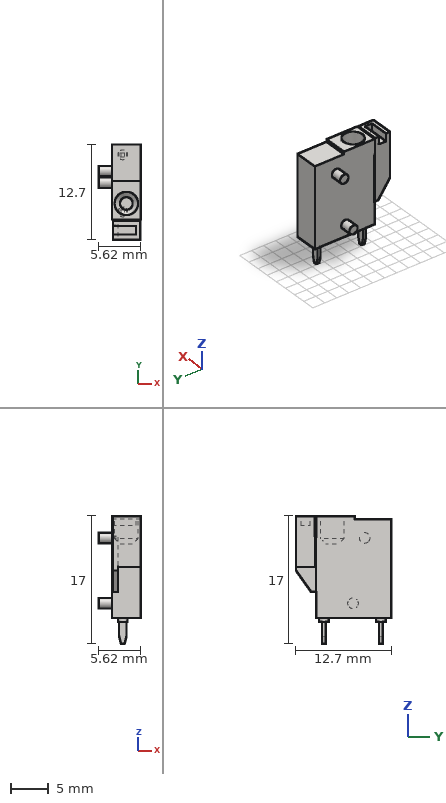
import cadquery as cq

OVERALL_HEIGHT = 17.0

HOUSING_WIDTH = 3.85
HOUSING_DEPTH = 10.03
HOUSING_HEIGHT = 13.57
REAR_STEP_LENGTH = 4.88
REAR_STEP_DROP = 0.39

ENTRY_X = HOUSING_WIDTH / 2
ENTRY_Y = 2.16
ENTRY_DIAMETER = 3.11
ENTRY_FLOOR_DIAMETER = 1.68
ENTRY_BORE_DEPTH = 3.0
ENTRY_FUNNEL_DEPTH = (ENTRY_DIAMETER - ENTRY_FLOOR_DIAMETER) / 2

PEG_DIAMETER = 1.41
PEG_LENGTH = 1.77
PEG_CENTRES = [(6.46, 10.66), (4.91, 1.97)]

LEVER_LEFT = 0.12
LEVER_RIGHT = HOUSING_WIDTH - 0.05
LEVER_REACH = 2.67
LEVER_GAP = 0.15
LEVER_HEAD_HEIGHT = 6.77
LEG_RIGHT = 0.78
LEG_TOP_DROP = 2.8
LEG_SLOPE_DROP = 7.26
LEG_BOTTOM_DROP = 10.06
LEG_BOTTOM_REACH = 0.68
SLOT_NEAR_REACH = 0.82
SLOT_FAR_REACH = 1.99
SLOT_DEPTH = 1.22
SLOT_END_X = 3.21

PIN_X = 1.45
PIN_YS = [1.04, 8.62]
COLLAR_DIAMETER = 1.31
COLLAR_HEIGHT = 0.5
PIN_LENGTH = OVERALL_HEIGHT - HOUSING_HEIGHT
BLADE_WIDTH = 1.02
BLADE_THICKNESS = 0.51
BLADE_TIP_WIDTH = 0.5
BLADE_TAPER_LENGTH = 1.02


def box_between(low, high):
    """Box spanning two opposite corners."""
    size = [end - start for start, end in zip(low, high)]
    return cq.Workplane("XY").box(*size, centered=False).translate(low)


def make_wire_entry():
    """Cutting body for the bore and its funnel."""
    bore_bottom = HOUSING_HEIGHT - ENTRY_BORE_DEPTH
    floor = bore_bottom - ENTRY_FUNNEL_DEPTH
    half_section = [
        (0, floor),
        (ENTRY_FLOOR_DIAMETER / 2, floor),
        (ENTRY_DIAMETER / 2, bore_bottom),
        (ENTRY_DIAMETER / 2, HOUSING_HEIGHT),
        (0, HOUSING_HEIGHT),
    ]
    entry = cq.Workplane("XZ").polyline(half_section).close().revolve(360, (0, 0), (0, 1))
    return entry.translate((ENTRY_X, ENTRY_Y, 0))


def make_housing():
    """Stepped block with the wire entry and two locating pegs."""
    block = box_between((0, 0, 0), (HOUSING_WIDTH, HOUSING_DEPTH, HOUSING_HEIGHT))
    rear_step = box_between(
        (0, HOUSING_DEPTH - REAR_STEP_LENGTH, HOUSING_HEIGHT - REAR_STEP_DROP),
        (HOUSING_WIDTH, HOUSING_DEPTH, HOUSING_HEIGHT),
    )
    pegs = cq.Workplane("YZ").pushPoints(PEG_CENTRES).circle(PEG_DIAMETER / 2).extrude(-PEG_LENGTH)
    return block.cut(rear_step).cut(make_wire_entry()).union(pegs)


def make_lever():
    """Slotted lever head with a narrow sloped leg that rests on the housing."""
    top = HOUSING_HEIGHT
    side_outline = [
        (-LEVER_GAP, top),
        (-LEVER_REACH, top),
        (-LEVER_REACH, top - LEG_SLOPE_DROP),
        (-LEG_BOTTOM_REACH, top - LEG_BOTTOM_DROP),
        (0, top - LEG_BOTTOM_DROP),
        (0, top - LEG_TOP_DROP),
        (-LEVER_GAP, top - LEG_TOP_DROP + LEVER_GAP),
    ]
    leg_width = LEG_RIGHT - LEVER_LEFT
    leg = cq.Workplane("YZ", origin=(LEVER_LEFT, 0, 0)).polyline(side_outline).close().extrude(leg_width)
    head = box_between(
        (LEVER_LEFT, -LEVER_REACH, top - LEVER_HEAD_HEIGHT),
        (LEVER_RIGHT, -LEVER_GAP, top),
    )
    slot = box_between(
        (LEVER_LEFT, -SLOT_FAR_REACH, top - SLOT_DEPTH),
        (SLOT_END_X, -SLOT_NEAR_REACH, top),
    )
    return leg.union(head).cut(slot)


def make_pin(y):
    """Round collar with a flat blade that tapers to its tip."""
    collar = cq.Workplane("XY").circle(COLLAR_DIAMETER / 2).extrude(-COLLAR_HEIGHT)
    taper_top = BLADE_TAPER_LENGTH - PIN_LENGTH
    blade_outline = [
        (-BLADE_WIDTH / 2, -COLLAR_HEIGHT),
        (BLADE_WIDTH / 2, -COLLAR_HEIGHT),
        (BLADE_WIDTH / 2, taper_top),
        (BLADE_TIP_WIDTH / 2, -PIN_LENGTH),
        (-BLADE_TIP_WIDTH / 2, -PIN_LENGTH),
        (-BLADE_WIDTH / 2, taper_top),
    ]
    blade = cq.Workplane("XZ").polyline(blade_outline).close().extrude(BLADE_THICKNESS / 2, both=True)
    return collar.union(blade).translate((PIN_X, y, 0))


housing = make_housing()
lever = make_lever()
pins = [make_pin(y) for y in PIN_YS]

result = cq.Compound.makeCompound([
    housing.solids().val(),
    lever.solids().val(),
    *[pin.solids().val() for pin in pins],
])